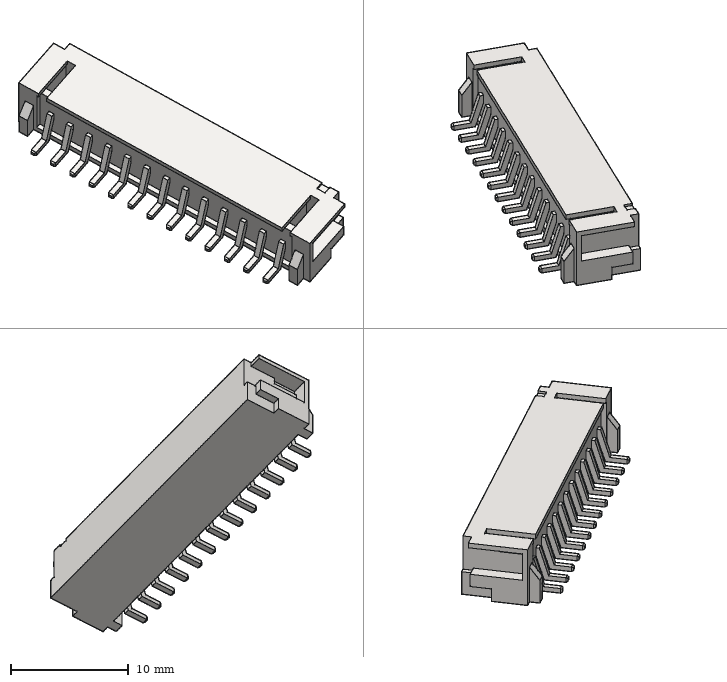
import cadquery as cq

length = 30.15
left = -length / 2
depth = 5.95
height = 5.37
top_wall = 0.45
ceiling = height - top_wall

front_recess_depth = 0.45
front_recess_margin = 1.87
front_recess_floor = 0.55
contact_wall_face = -depth + front_recess_depth
contact_wall_thickness = 0.65
contact_wall_rear = contact_wall_face + contact_wall_thickness

slot_margin = 2.05
slot_width = 0.85
slot_rear = -1.65
pocket_inner_widening = 0.45
pocket_outer_widening = 0.12
pocket_floor = 2.4

key_notch_length = 0.75
key_notch_depth = 0.2

end_recess_depth = 1.15
end_recess_floor = 2.38
lip_rear = -0.75
end_step_depth = 0.65
rear_ledge_length = 0.9
rear_ledge_height = 2.17
foot_relief_length = 2.77
foot_relief_height = 1.2
window_rear = -3.17
window_height = 0.65
window_depth = 0.3

tab_margin = 0.65
tab_width = 0.87
tab_reach = 0.9
tab_front_height = 2.2
tab_rear_height = 3.35

pin_count = 13
pin_row_span = 24.0
pin_pitch = pin_row_span / (pin_count - 1)
pin_width = 0.5
pin_thickness = 0.45
pin_leg_thickness = 0.4
pin_top = 3.0
pin_knee = -5.8
pin_bend = -6.6
pin_tip = -8.25
pin_tip_taper = 0.15
pin_tip_inset = 0.1
pin_embed = 0.3


def box(x_range, y_range, z_range):
    """Axis-aligned box spanning the given (low, high) ranges."""
    size = [high - low for low, high in (x_range, y_range, z_range)]
    corner = (x_range[0], y_range[0], z_range[0])
    return cq.Workplane("XY").box(*size, centered=False).translate(corner)


def both_ends(left_solid):
    """The left-end solid together with its mirror image at the right end."""
    return left_solid.union(left_solid.mirror("YZ"))


def end_recess():
    """Stepped recess in the left end face, with a relief in its inner wall."""
    inner = left + end_recess_depth
    step = left + end_step_depth
    upper = box((left, inner), (contact_wall_face, 0), (end_recess_floor, ceiling))
    lip = box((left, inner), (lip_rear, 0), (ceiling, height))
    ledge = box((step, inner), (-rear_ledge_length, 0), (rear_ledge_height, end_recess_floor))
    rear = box((left, step), (-rear_ledge_length, 0), (0, end_recess_floor))
    foot = box((left, step), (-foot_relief_length, 0), (0, foot_relief_height))
    window = box(
        (inner, inner + window_depth),
        (contact_wall_face, window_rear),
        (ceiling - window_height, ceiling),
    )
    return upper.union(lip).union(ledge).union(rear).union(foot).union(window)


def top_slot():
    """Slot through the top wall at the left end and the wider pocket beneath it."""
    start = left + slot_margin
    end = start + slot_width
    opening = box((start, end), (-depth, slot_rear), (ceiling, height))
    pocket = box(
        (start - pocket_outer_widening, end + pocket_inner_widening),
        (contact_wall_rear, slot_rear),
        (pocket_floor, ceiling),
    )
    return opening.union(pocket)


def front_recess():
    start = left + front_recess_margin
    return box((start, -start), (-depth, contact_wall_face), (front_recess_floor, ceiling))


def key_notch():
    """Notch in the rear edge of the top wall, at the right end only."""
    outer = -left - slot_margin
    return box((outer - slot_width, outer), (-key_notch_length, 0), (height - key_notch_depth, height))


def solder_tab():
    profile = [
        (-depth, 0),
        (-depth - tab_reach, 0),
        (-depth - tab_reach, tab_front_height),
        (-depth, tab_rear_height),
    ]
    tab = cq.Workplane("YZ").polyline(profile).close().extrude(tab_width)
    return tab.translate((left + tab_margin, 0, 0))


def contact():
    """Bent contact centred on X = 0: stub out of the wall, sloping leg, flat foot."""
    stub_start = contact_wall_face + pin_embed
    taper_start = pin_tip + pin_tip_taper
    profile = [
        (stub_start, pin_top),
        (pin_knee, pin_top),
        (pin_bend, pin_thickness),
        (taper_start, pin_thickness),
        (taper_start, 0),
        (pin_bend + pin_leg_thickness, 0),
        (pin_knee + pin_leg_thickness, pin_top - pin_thickness),
        (stub_start, pin_top - pin_thickness),
    ]
    body = cq.Workplane("YZ").polyline(profile).close().extrude(pin_width / 2, both=True)
    tip = (
        cq.Workplane("XZ", origin=(0, taper_start, pin_thickness / 2))
        .rect(pin_width, pin_thickness)
        .workplane(offset=pin_tip_taper)
        .rect(pin_width - 2 * pin_tip_inset, pin_thickness - 2 * pin_tip_inset)
        .loft(ruled=True)
    )
    return body.union(tip)


housing = box((left, -left), (-depth, 0), (0, height))
housing = housing.cut(both_ends(end_recess()))
housing = housing.cut(front_recess())
housing = housing.cut(both_ends(top_slot()))
housing = housing.cut(key_notch())
housing = housing.union(both_ends(solder_tab()))

pin = contact()
for index in range(pin_count):
    offset = index * pin_pitch - pin_row_span / 2
    housing = housing.union(pin.translate((offset, 0, 0)))

result = housing